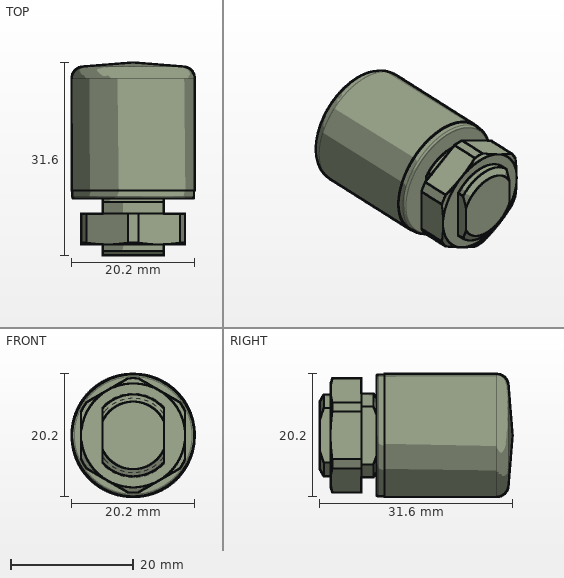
import cadquery as cq


overall_length = 31.62
cap_diameter = 20.2
cap_rim_drop = 0.82
cap_edge_fillet = 2.0
skirt_radius = 10.0
skirt_bottom_y = 9.3
skirt_length = 1.33
skirt_edge_fillet = 0.35

flats_width = 10.02
stem_radius = 6.7
stem_tip_radius = 5.53
stem_chamfer_length = 0.7
neck_radius = 6.9
neck_root_radius = 6.1
neck_taper_length = 0.5

nut_face_y = 1.8
nut_thickness = 5.03
nut_across_flats = 17.0
nut_corner_radius = 9.35
nut_chamfer_length = 0.3

cap_radius = cap_diameter / 2
nut_back_y = nut_face_y + nut_thickness
skirt_top_y = skirt_bottom_y + skirt_length


def revolve_about_y(points):
    """Turn a closed (radius, y) outline into a solid."""
    return cq.Workplane("XY").polyline(points).close().revolve(360, (0, 0, 0), (0, 1, 0))


def make_cap():
    rim_y = overall_length - cap_rim_drop
    shell = revolve_about_y([
        (0, skirt_top_y),
        (cap_radius, skirt_top_y),
        (cap_radius, rim_y),
        (0, overall_length),
    ])
    shell = shell.edges("%CIRCLE").edges(">Y").fillet(cap_edge_fillet)

    skirt = revolve_about_y([
        (0, skirt_bottom_y),
        (skirt_radius, skirt_bottom_y),
        (skirt_radius, skirt_top_y),
        (0, skirt_top_y),
    ])
    skirt = skirt.faces("<Y").edges().fillet(skirt_edge_fillet)
    return shell.union(skirt)


def make_stem():
    turned = revolve_about_y([
        (0, 0),
        (stem_tip_radius, 0),
        (stem_radius, stem_chamfer_length),
        (stem_radius, nut_back_y),
        (neck_radius, nut_back_y),
        (neck_radius, skirt_bottom_y - neck_taper_length),
        (neck_root_radius, skirt_bottom_y),
        (0, skirt_bottom_y),
    ])
    flats = cq.Workplane("XY").box(
        flats_width, skirt_bottom_y, 2 * neck_radius, centered=(True, False, True)
    )
    return turned.intersect(flats)


def make_nut():
    hexagon = (
        cq.Workplane("XZ", origin=(0, nut_back_y, 0))
        .polygon(6, nut_across_flats, circumscribed=True)
        .extrude(nut_thickness)
    )
    corner_limit = revolve_about_y([
        (0, nut_face_y),
        (nut_across_flats / 2, nut_face_y),
        (nut_corner_radius, nut_face_y + nut_chamfer_length),
        (nut_corner_radius, nut_back_y),
        (0, nut_back_y),
    ])
    return hexagon.intersect(corner_limit)


result = make_cap().union(make_stem()).union(make_nut())